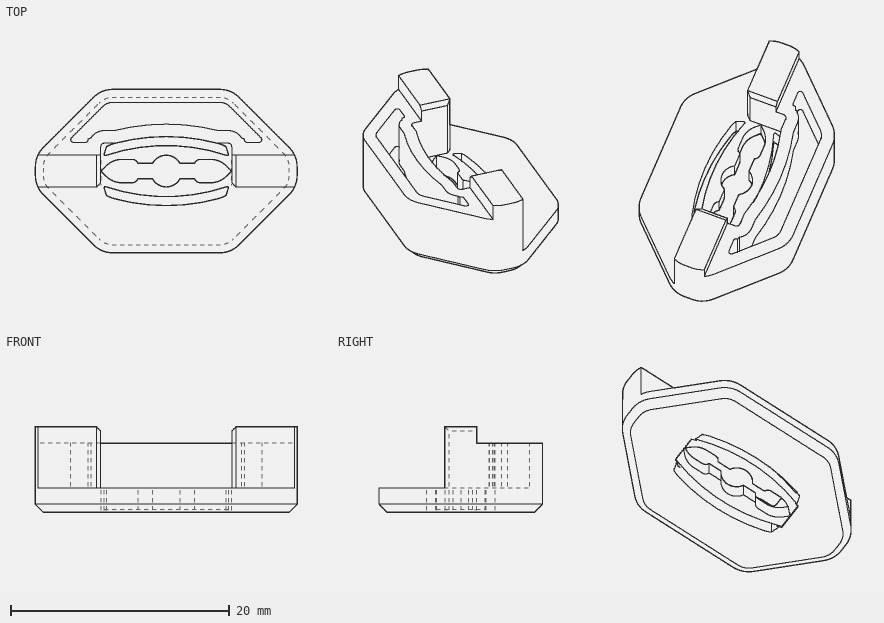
import cadquery as cq
import math

LENGTH = 24.0
WIDTH = 15.0
PLATE_TOP = 2.25
WALL_TOP = 6.35
TAB_TOP = 7.85
CORNER_CUT = 6.07
CORNER_RADIUS = 2.5
DIAGONAL_INSET_GAIN = 2 - math.sqrt(2)
BOTTOM_CHAMFER = 0.75

TAB_WIDTH = 2.95
TAB_GAP = 12.0
TAB_CHAMFER = 0.4

BEAM_PEAK_Y = 2.35
SLOT_WIDTH = 0.8
BEAM_RADIUS = 17.4
ARC_CENTER_Y = BEAM_PEAK_Y - BEAM_RADIUS
SLOT_RADIUS = BEAM_RADIUS + SLOT_WIDTH
SLOT_INNER_HALF = 5.74
SLOT_INNER_FILLET = 0.1
SLOT_BEND_X = 4.75
SLOT_OUTER_CORNER = (5.46, 2.24)
BEAM_RELIEF = 0.25

RECESS_BACK_Y = 2.57
RECESS_FILLET = 0.36

RIM = 1.2
INNER_WALL = 1.15
POCKET_FRONT_Y = 2.63
POCKET_FILLET = 0.25

HOLE_RADIUS = 1.44
NECK_HALF = 0.7
NECK_END_X = 2.6
LOBE_HALF = 1.06
LOBE_FILLET = 0.56
LOBE_TIP_X = 5.97
LOBE_TAPER_RADIUS = 2.05


def arc_height(radius, x):
    """Y of a slot-concentric arc at the given x."""
    return ARC_CENTER_Y + math.sqrt(radius**2 - x**2)


def block(x_min, x_max, y_min, y_max, z_min, z_max):
    """Axis-aligned block between the given limits."""
    size = (x_max - x_min, y_max - y_min, z_max - z_min)
    return cq.Workplane("XY").box(*size, centered=False).translate((x_min, y_min, z_min))


def outline_prism(bottom, top, inset=0.0):
    """Rounded octagon prism, its outline moved inwards by the inset."""
    corner_cut = CORNER_CUT - DIAGONAL_INSET_GAIN * inset
    prism = block(
        inset - LENGTH / 2, LENGTH / 2 - inset, inset - WIDTH / 2, WIDTH / 2 - inset, bottom, top
    )
    return prism.edges("|Z").chamfer(corner_cut).edges("|Z").fillet(CORNER_RADIUS - inset)


def recess_shape(growth=0.0):
    """Room between the tabs with a bowed back, grown sideways and backwards."""
    half = TAB_GAP / 2 + growth
    room = block(-half, half, -TAB_WIDTH / 2, RECESS_BACK_Y + growth, PLATE_TOP, TAB_TOP)
    room = room.edges("|Z and >Y").fillet(RECESS_FILLET + growth)
    bow = (
        cq.Workplane("XY", origin=(0, ARC_CENTER_Y, PLATE_TOP))
        .circle(SLOT_RADIUS + growth)
        .extrude(TAB_TOP - PLATE_TOP)
    )
    return room.union(bow.intersect(block(-half, half, 0, WIDTH / 2, PLATE_TOP, TAB_TOP)))


def base_plate():
    return outline_prism(0, PLATE_TOP).faces("<Z").chamfer(BOTTOM_CHAMFER)


def pocket():
    """Pocket in the rear wall, following the outer outline and the recess."""
    space = outline_prism(PLATE_TOP, WALL_TOP, RIM)
    space = space.intersect(block(-LENGTH, LENGTH, POCKET_FRONT_Y, WIDTH, PLATE_TOP, WALL_TOP))
    space = space.cut(recess_shape(INNER_WALL))
    front_corners = cq.selectors.BoxSelector(
        (-LENGTH, POCKET_FRONT_Y - POCKET_FILLET, 0),
        (LENGTH, POCKET_FRONT_Y + POCKET_FILLET, TAB_TOP),
    )
    return space.edges("|Z").edges(front_corners).fillet(POCKET_FILLET)


def rear_wall():
    wall = outline_prism(PLATE_TOP, WALL_TOP)
    wall = wall.intersect(block(-LENGTH, LENGTH, 0, WIDTH, PLATE_TOP, WALL_TOP))
    return wall.cut(recess_shape()).cut(pocket())


def right_tab():
    tab = block(TAB_GAP / 2, LENGTH / 2, -TAB_WIDTH / 2, TAB_WIDTH / 2, PLATE_TOP, TAB_TOP)
    tab = tab.faces("<X").edges(">Z or <Y").chamfer(TAB_CHAMFER)
    return tab.intersect(outline_prism(PLATE_TOP, TAB_TOP))


def rear_slot():
    """Curved slot behind the rear beam, built as a right half and mirrored."""
    inner_y = arc_height(BEAM_RADIUS, SLOT_INNER_HALF)
    bend_y = arc_height(SLOT_RADIUS, SLOT_BEND_X)
    right_half = (
        cq.Workplane("XY")
        .moveTo(0, BEAM_PEAK_Y + SLOT_WIDTH)
        .radiusArc((SLOT_BEND_X, bend_y), SLOT_RADIUS)
        .tangentArcPoint(SLOT_OUTER_CORNER, relative=False)
        .lineTo(SLOT_INNER_HALF, inner_y)
        .radiusArc((0, BEAM_PEAK_Y), -BEAM_RADIUS)
        .close()
        .extrude(PLATE_TOP)
    )
    inner_end = cq.selectors.NearestToPointSelector((SLOT_INNER_HALF, inner_y, PLATE_TOP / 2))
    right_half = right_half.edges("|Z").edges(inner_end).fillet(SLOT_INNER_FILLET)
    return right_half.union(right_half.mirror("YZ"))


def beam_relief():
    """Shallow lens-shaped clearance under both beams, between the slots."""
    disc = cq.Workplane("XY").circle(BEAM_RADIUS).extrude(BEAM_RELIEF)
    lens = disc.translate((0, ARC_CENTER_Y, 0)).intersect(disc.translate((0, -ARC_CENTER_Y, 0)))
    return lens.intersect(block(-LOBE_TIP_X, LOBE_TIP_X, -WIDTH / 2, WIDTH / 2, 0, BEAM_RELIEF))


def right_lobe():
    """Pointed lobe with the neck that joins it to the central hole."""
    fillet_drop = LOBE_FILLET - (LOBE_HALF - NECK_HALF)
    flat_start_x = NECK_END_X + math.sqrt(LOBE_FILLET**2 - fillet_drop**2)
    taper_run = LOBE_TAPER_RADIUS * math.sin(math.pi / 4)
    point_y = LOBE_HALF - (LOBE_TAPER_RADIUS - taper_run)
    point_x = LOBE_TIP_X - point_y
    upper_half = (
        cq.Workplane("XY")
        .lineTo(0, NECK_HALF)
        .lineTo(NECK_END_X, NECK_HALF)
        .radiusArc((flat_start_x, LOBE_HALF), LOBE_FILLET)
        .lineTo(point_x - taper_run, LOBE_HALF)
        .radiusArc((point_x, point_y), LOBE_TAPER_RADIUS)
        .lineTo(LOBE_TIP_X, 0)
        .close()
        .extrude(PLATE_TOP)
    )
    return upper_half.union(upper_half.mirror("XZ"))


def central_opening():
    hole = cq.Workplane("XY").circle(HOLE_RADIUS).extrude(PLATE_TOP)
    lobe = right_lobe()
    return hole.union(lobe).union(lobe.mirror("YZ"))


tab = right_tab()
slot = rear_slot()
body = base_plate().union(rear_wall()).union(tab).union(tab.mirror("YZ"))
result = body.cut(slot).cut(slot.mirror("XZ")).cut(central_opening()).cut(beam_relief())